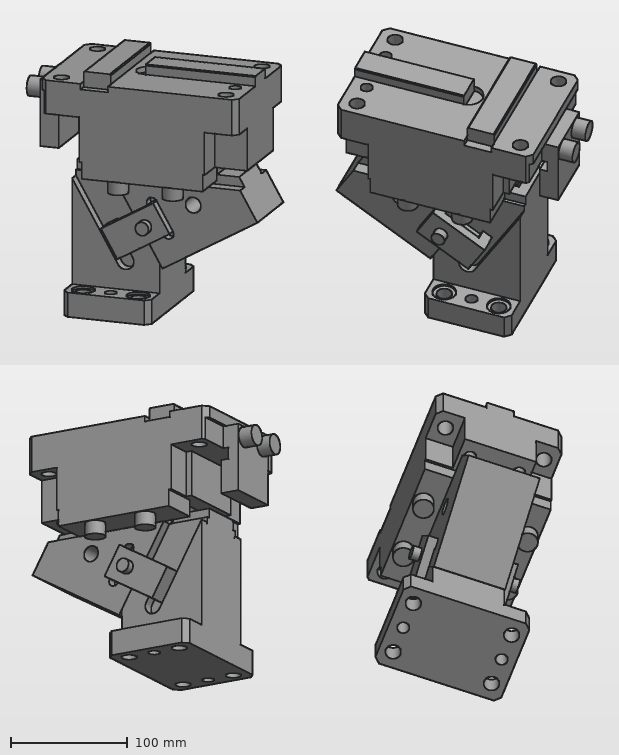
import cadquery as cq
import math

WIDTH = 115.0
HEIGHT = 219.0
CORNER = 5.0
HOLE_INSET = 15.0
HOLE_HALF_SPACING = 45.0
MOUNT_HOLE_DIA = 13.4
DOWEL_DIA = 10.5
BODY_WIDTH = 65.0
SHOULDER_Z = 121.5
RAIL_TOP_Z = 130.0
REACH = 438.0

SLOPE_ANGLE = 30.0
TIP_X = 82.5
TIP_Z = 44.2

BASE_LENGTH = 80.0
FLANGE_HEIGHT = 22.0
COUNTERBORE_DIA = 20.4
COUNTERBORE_DEPTH = 2.0
BASE_RAIL_WIDTH = 39.9
GROOVE_OUT = -35.3
GROOVE_WIDTH = 15.3
GROOVE_END = 20.0
GROOVE_HALF_SPAN = 23.0
LEDGE_TOP = 50.0
RECESS_WIDTH = 28.0
RECESS_DEPTH = 14.7
RECESS_SLOT_WIDTH = 19.7
RECESS_SLOT_DEPTH = 20.1
RECESS_FLOOR = 88.0

SLIDER_DEPTH = 100.0
SLIDER_STOCK = 131.5
SLIDER_RAIL_WIDTH = 43.0
CROSS_HOLE_X = 110.5
CROSS_HOLE_Z = 104.0
CROSS_HOLE_DIA = 14.0
PLATE_LENGTH = 55.0
PLATE_HEIGHT = 30.0
PLATE_OUT = -29.5
PLATE_LOW = 25.0
PLATE_HALF_SPAN = 41.0
RELIEF_RADIUS = 4.8
PIN_DIA = 12.0
PIN_OFFSET = 8.0
PIN_HALF_SPAN = 48.5

HOLDER_LEFT = -20.0
HOLDER_LENGTH = 180.0
HOLDER_RIGHT = HOLDER_LEFT + HOLDER_LENGTH
HOLDER_TOP = 210.0
LEFT_ARM_Z = 180.0
RIGHT_ARM_Z = 178.0
CORE_LEFT = 10.0
CORE_BOTTOM = 140.0
SIDE_LEFT = 15.5
SIDE_RIGHT = 130.0
BAR_LEFT = 18.0
BAR_RIGHT = 128.3
BAR_BOTTOM = 125.0
CHANNEL_WIDTH = 44.7
BAR_BOLT_XS = (47.5, 97.5)
BAR_BOLT_Y = 47.5
BAR_BOLT_LENGTH = 11.8
BOLT_HEAD_DIA = 18.0
STOP_SEAT_X = -17.0
STOP_TOP = 199.7
STOP_LEFT = -32.0
STOP_RIGHT = -15.0
STOP_WIDTH = 50.0
STOP_NOTCH_X = -22.0
STOP_NOTCH_Z = 169.7
STOP_BOLT_END = -44.7
STOP_BOLT_Y = 15.1
STOP_BOLT_Z = 190.0
KEY_WIDTH = 25.0
KEY_SEAT_DEPTH = 5.0
KEY_CHAMFER = 1.0
CROSS_KEY_LEFT = 16.9
CROSS_KEY_LENGTH = 99.9
LONG_KEY_LEFT = 59.8
DOWEL_HALF_SPACING = 22.3


def block(x0, x1, y0, y1, z0, z1):
    """Axis-aligned box between two opposite corners."""
    return cq.Workplane("XY").box(x1 - x0, y1 - y0, z1 - z0, centered=False).translate((x0, y0, z0))


def middle_block(x0, x1, width, z0, z1):
    """Box centred on the middle plane."""
    return block(x0, x1, -width / 2, width / 2, z0, z1)


def outside_blocks(x0, x1, inner_width, z0, z1):
    """Everything in a height band that lies outside a central width."""
    return middle_block(x0, x1, REACH, z0, z1).cut(middle_block(x0, x1, inner_width, z0, z1))


def slope_plane(half_span=0.0):
    """Plane with x across the slope, y up the slope and normal -Y, on the near side."""
    angle = math.radians(SLOPE_ANGLE)
    return cq.Plane(
        origin=(TIP_X, -half_span, TIP_Z),
        xDir=(math.cos(angle), 0, math.sin(angle)),
        normal=(0, -1, 0),
    )


def slope_block(across0, across1, up0, up1, inner, outer):
    """Box lined up with the slope, on the near side of the middle plane."""
    return (
        cq.Workplane(slope_plane(inner))
        .center((across0 + across1) / 2, (up0 + up1) / 2)
        .rect(across1 - across0, up1 - up0)
        .extrude(outer - inner)
    )


def slope_disc(across, up, diameter, inner, outer):
    """Cylinder along Y, placed in slope coordinates, on the near side."""
    return cq.Workplane(slope_plane(inner)).center(across, up).circle(diameter / 2).extrude(outer - inner)


def both_sides(near):
    """The near-side shape together with its mirror image."""
    return near.union(near.mirror("XZ"))


def vertical_cylinders(points, diameter, z0, z1):
    """Upright cylinders of one diameter between two heights."""
    return cq.Workplane("XY", origin=(0, 0, z0)).pushPoints(points).circle(diameter / 2).extrude(z1 - z0)


def mount_points(x0, x1):
    """Four mounting holes near the corners of a plate that reaches from x0 to x1."""
    return [
        (x, y)
        for x in (x0 + HOLE_INSET, x1 - HOLE_INSET)
        for y in (-HOLE_HALF_SPACING, HOLE_HALF_SPACING)
    ]


def base_flange():
    """Foot plate with counterbored mounting holes and two dowel holes."""
    flange = middle_block(0, BASE_LENGTH, WIDTH, 0, FLANGE_HEIGHT).edges("|Z").chamfer(CORNER)
    corners = mount_points(0, BASE_LENGTH)
    dowels = [(BASE_LENGTH / 2, side * HOLE_HALF_SPACING) for side in (-1, 1)]
    flange = flange.cut(vertical_cylinders(corners, MOUNT_HOLE_DIA, 0, FLANGE_HEIGHT))
    flange = flange.cut(vertical_cylinders(dowels, DOWEL_DIA, 0, FLANGE_HEIGHT))
    seat = FLANGE_HEIGHT - COUNTERBORE_DEPTH
    return flange.cut(vertical_cylinders(corners, COUNTERBORE_DIA, seat, FLANGE_HEIGHT))


def hook_grooves():
    """Side grooves along the slope, round at the lower end, open above the ledge."""
    span = (GROOVE_HALF_SPAN, BODY_WIDTH)
    ledge_out = GROOVE_OUT + GROOVE_WIDTH
    run = slope_block(GROOVE_OUT, ledge_out, GROOVE_END, REACH, *span)
    end = slope_disc((GROOVE_OUT + ledge_out) / 2, GROOVE_END, GROOVE_WIDTH, *span)
    above_ledge = slope_block(ledge_out, 0, LEDGE_TOP, REACH, *span)
    return both_sides(run.union(end).union(above_ledge))


def slope_recess():
    """Stepped recess in the slope face, open at the top of the base."""
    wide = slope_block(-RECESS_DEPTH, 0, RECESS_FLOOR, REACH, 0, RECESS_WIDTH / 2)
    slot = slope_block(-RECESS_SLOT_DEPTH, 0, RECESS_FLOOR, REACH, 0, RECESS_SLOT_WIDTH / 2)
    return both_sides(wide.union(slot))


def make_base():
    column = middle_block(0, BASE_LENGTH, BODY_WIDTH, 0, RAIL_TOP_Z)
    column = column.cut(outside_blocks(0, BASE_LENGTH, BASE_RAIL_WIDTH, SHOULDER_Z, RAIL_TOP_Z))
    column = column.cut(both_sides(slope_block(0, REACH, -REACH, REACH, 0, BODY_WIDTH)))
    column = column.cut(hook_grooves()).cut(slope_recess())
    return base_flange().union(column)


def slider_core():
    """Block with one face on the slope and a stepped rail on top."""
    core = both_sides(slope_block(0, SLIDER_DEPTH, 0, SLIDER_STOCK, 0, BODY_WIDTH / 2))
    core = core.cut(middle_block(-REACH, REACH, REACH, CORE_BOTTOM, REACH))
    core = core.cut(middle_block(BAR_RIGHT, REACH, REACH, RAIL_TOP_Z, REACH))
    core = core.cut(outside_blocks(-REACH, REACH, SLIDER_RAIL_WIDTH, SHOULDER_Z, REACH))
    cross_hole = (
        cq.Workplane("XZ")
        .center(CROSS_HOLE_X, CROSS_HOLE_Z)
        .circle(CROSS_HOLE_DIA / 2)
        .extrude(BODY_WIDTH, both=True)
    )
    return core.cut(cross_hole)


def plate_reliefs():
    """Round corner reliefs of the pockets that hold the hook plates."""
    across = PLATE_OUT + PLATE_LENGTH - RELIEF_RADIUS
    reliefs = cq.Workplane()
    for up in (PLATE_LOW, PLATE_LOW + PLATE_HEIGHT):
        reliefs = reliefs.add(slope_disc(across, up, 2 * RELIEF_RADIUS, GROOVE_HALF_SPAN, BODY_WIDTH))
    return both_sides(reliefs.combine())


def hook_plates():
    """Side plates with a hook in the base groove and a pin on the outside."""
    top = PLATE_LOW + PLATE_HEIGHT
    inner_end = PLATE_OUT + PLATE_LENGTH
    plate = slope_block(PLATE_OUT, inner_end, PLATE_LOW, top, BODY_WIDTH / 2, PLATE_HALF_SPAN)
    hook_span = (GROOVE_HALF_SPAN, PLATE_HALF_SPAN)
    hook = slope_block(PLATE_OUT, GROOVE_OUT + GROOVE_WIDTH, PLATE_LOW, top, *hook_span)
    root = slope_block(0, inner_end, PLATE_LOW, top, *hook_span)
    pin = slope_disc(PIN_OFFSET, PLATE_LOW + PLATE_HEIGHT / 2, PIN_DIA, BODY_WIDTH / 2, PIN_HALF_SPAN)
    return both_sides(plate.union(hook).union(root).union(pin))


def make_slider():
    return slider_core().cut(plate_reliefs()).union(hook_plates())


def top_plate():
    """Chamfered plate with a raised underside and a stop block seat at the left end."""
    plate = middle_block(HOLDER_LEFT, HOLDER_RIGHT, WIDTH, RIGHT_ARM_Z, HOLDER_TOP)
    plate = plate.edges("|Z").chamfer(CORNER)
    plate = plate.cut(middle_block(HOLDER_LEFT, SIDE_LEFT, WIDTH, 0, LEFT_ARM_Z))
    return plate.cut(middle_block(HOLDER_LEFT, STOP_SEAT_X, WIDTH, 0, STOP_TOP))


def holder_body():
    """Narrow core and full-width middle under the top plate, with two bars beside the slider rail."""
    core = middle_block(CORE_LEFT, HOLDER_RIGHT, BODY_WIDTH, CORE_BOTTOM, LEFT_ARM_Z)
    middle = middle_block(SIDE_LEFT, SIDE_RIGHT, WIDTH, CORE_BOTTOM, LEFT_ARM_Z)
    bars = middle_block(BAR_LEFT, BAR_RIGHT, WIDTH, BAR_BOTTOM, CORE_BOTTOM)
    bars = bars.cut(middle_block(BAR_LEFT, BAR_RIGHT, CHANNEL_WIDTH, BAR_BOTTOM, CORE_BOTTOM))
    return core.union(middle).union(bars)


def bar_bolts():
    points = [(x, side * BAR_BOLT_Y) for x in BAR_BOLT_XS for side in (-1, 1)]
    return vertical_cylinders(points, BOLT_HEAD_DIA, BAR_BOTTOM - BAR_BOLT_LENGTH, BAR_BOTTOM)


def stop_block():
    """Notched block on the end face, with two bolt heads."""
    outline = [
        (STOP_LEFT, CORE_BOTTOM),
        (STOP_RIGHT, CORE_BOTTOM),
        (STOP_RIGHT, STOP_NOTCH_Z),
        (STOP_NOTCH_X, STOP_NOTCH_Z),
        (STOP_NOTCH_X, LEFT_ARM_Z),
        (STOP_SEAT_X, LEFT_ARM_Z),
        (STOP_SEAT_X, STOP_TOP),
        (STOP_LEFT, STOP_TOP),
    ]
    stop = cq.Workplane("XZ").polyline(outline).close().extrude(STOP_WIDTH / 2, both=True)
    bolts = (
        cq.Workplane("YZ", origin=(STOP_BOLT_END, 0, STOP_BOLT_Z))
        .pushPoints([(-STOP_BOLT_Y, 0), (STOP_BOLT_Y, 0)])
        .circle(BOLT_HEAD_DIA / 2)
        .extrude(STOP_LEFT - STOP_BOLT_END)
    )
    return stop.union(bolts)


def key_seats():
    """Cross slot over the full width and a long slot with a round end."""
    floor = HOLDER_TOP - KEY_SEAT_DEPTH
    cross = middle_block(CROSS_KEY_LEFT, CROSS_KEY_LEFT + KEY_WIDTH, WIDTH, floor, HOLDER_TOP)
    lengthwise = middle_block(LONG_KEY_LEFT, HOLDER_RIGHT, KEY_WIDTH, floor, HOLDER_TOP)
    round_end = vertical_cylinders([(LONG_KEY_LEFT, 0)], KEY_WIDTH, floor, HOLDER_TOP)
    return cross.union(lengthwise).union(round_end)


def keys():
    """Two keys standing in the seats, chamfered along their long top edges."""
    floor = HOLDER_TOP - KEY_SEAT_DEPTH
    cross = middle_block(CROSS_KEY_LEFT, CROSS_KEY_LEFT + KEY_WIDTH, CROSS_KEY_LENGTH, floor, HEIGHT)
    lengthwise = middle_block(LONG_KEY_LEFT, HOLDER_RIGHT, KEY_WIDTH, floor, HEIGHT)
    cross = cross.faces(">Z").edges("|Y").chamfer(KEY_CHAMFER)
    lengthwise = lengthwise.faces(">Z").edges("|X").chamfer(KEY_CHAMFER)
    return cross.union(lengthwise)


def holder_holes():
    corners = mount_points(HOLDER_LEFT, HOLDER_RIGHT)
    dowels = [(HOLDER_RIGHT - HOLE_INSET, side * DOWEL_HALF_SPACING) for side in (-1, 1)]
    mounts = vertical_cylinders(corners, MOUNT_HOLE_DIA, 0, HOLDER_TOP)
    return mounts.union(vertical_cylinders(dowels, DOWEL_DIA, 0, HOLDER_TOP))


def make_holder():
    holder = top_plate().union(holder_body()).cut(key_seats()).cut(holder_holes())
    return holder.union(keys()).union(bar_bolts()).union(stop_block())


base = make_base()
slider = make_slider()
holder = make_holder()

result = cq.Compound.makeCompound([base.val(), slider.val(), holder.val()])